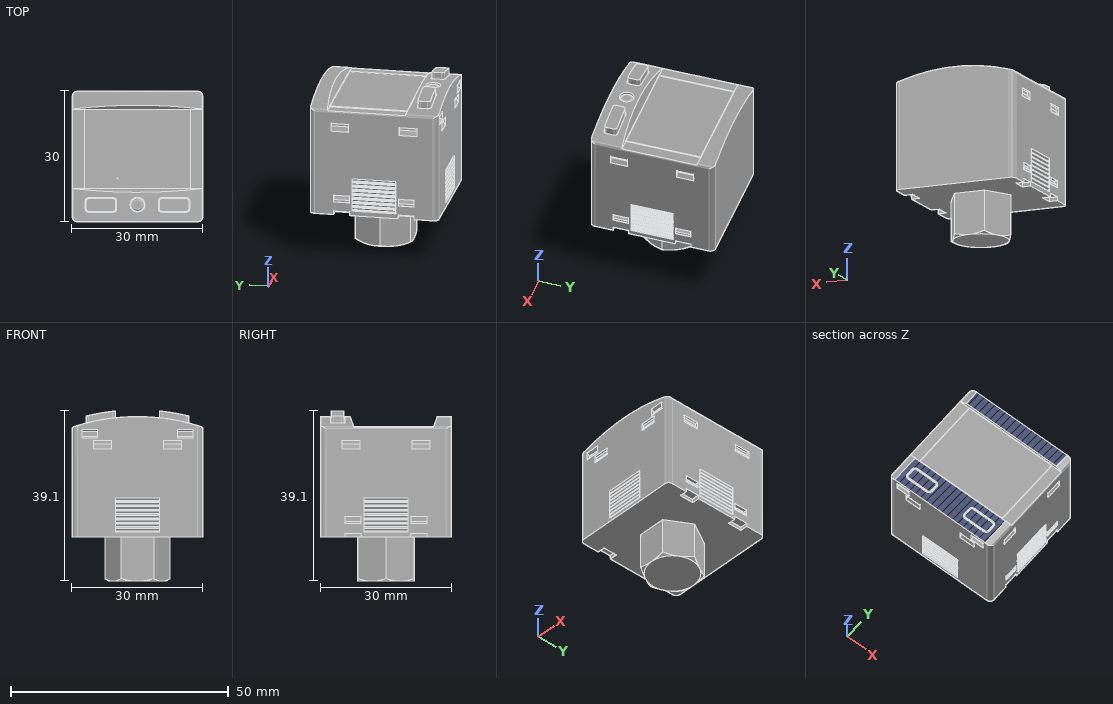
import cadquery as cq
import math

case_width = 30.0
half_width = case_width / 2
corner_radius = 1.2
crown_height = 27.72
crown_radius = 47.5
crown_axis_z = crown_height - crown_radius
cut_clearance = 1.0
eave_fillet = 0.5

fitting_length = 10.1
fitting_flats = 13.0
fitting_corners = fitting_flats / math.cos(math.radians(30))
fitting_chamfer_angle = 30.0

recess_floor = 25.2
recess_front = -7.3
recess_back = 10.85
recess_wall_angle = 20.0
display_width = 24.3
display_rise = 0.2

key_inner_x = 5.0
key_outer_x = 11.8
key_front = -12.6
key_back = -9.66
key_peak = 29.02
key_corner = 0.6
key_gap = 0.2
key_slot_floor = 25.4

round_y = -11.05
round_hole_diameter = 3.36
round_hole_floor = 26.6
round_key_diameter = 3.1
round_key_flat_diameter = 2.1
round_key_top = 27.45

vent_width = 10.2
vent_count = 8
vent_pitch = 1.0
vent_opening = 0.84
vent_back_height = 0.25
vent_depth = 0.4
vent_top = 9.0

clip_center = 8.0
clip_width = 4.1
clip_profile = [(0, 20.3), (0, 22.2), (0.6, 22.2), (0.6, 21.4)]
hook_center = 10.95
hook_width = 3.55
hook_profile = [(0, 22.8), (0, 24.75), (0.85, 24.3), (0.85, 23.1)]
low_center = 7.55
low_width = 3.65
low_profile = [(0, 3.1), (0, 4.73), (1.0, 4.73), (0.1, 3.65), (0.1, 3.1)]
notch_outer = 9.4
notch_inner = 5.75
notch_height = 0.9
notch_flare = 0.15
notch_depth = 2.0


def arched_block():
    """Square block with an arched top, all its edges sharp."""
    eave = crown_axis_z + math.sqrt(crown_radius**2 - half_width**2)
    return (
        cq.Workplane("XZ", origin=(0, half_width, 0))
        .moveTo(-half_width, 0)
        .lineTo(half_width, 0)
        .lineTo(half_width, eave)
        .threePointArc((0, crown_height), (-half_width, eave))
        .close()
        .extrude(case_width)
    )


def make_case():
    """Block with rounded corners, trimmed by the same block with rounded eaves."""
    cornered = arched_block().edges("|Z").fillet(corner_radius)
    eaved = arched_block().faces(">Z").edges("|Y").fillet(eave_fillet)
    return cornered.intersect(eaved)


def make_fitting():
    hexagon = (
        cq.Workplane("XY", origin=(0, 0, -fitting_length))
        .polygon(6, fitting_corners)
        .extrude(fitting_length)
    )
    base_radius = fitting_flats / 2
    flare = fitting_length / math.tan(math.radians(fitting_chamfer_angle))
    cone = (
        cq.Workplane("XZ")
        .moveTo(0, -fitting_length)
        .lineTo(base_radius, -fitting_length)
        .lineTo(base_radius + flare, 0)
        .lineTo(0, 0)
        .close()
        .revolve(axisStart=(0, 0), axisEnd=(0, 1))
    )
    return hexagon.intersect(cone)


def make_recess():
    height = crown_height + cut_clearance - recess_floor
    lean = height * math.tan(math.radians(recess_wall_angle))
    return (
        cq.Workplane("YZ", origin=(-half_width, 0, 0))
        .moveTo(recess_front, recess_floor)
        .lineTo(recess_back, recess_floor)
        .lineTo(recess_back + lean, recess_floor + height)
        .lineTo(recess_front - lean, recess_floor + height)
        .close()
        .extrude(case_width)
    )


def make_display():
    return (
        cq.Workplane("XY", origin=(0, recess_front, recess_floor))
        .box(display_width, recess_back - recess_front, display_rise, centered=(True, False, False))
    )


def key_prism(margin):
    """Upright rounded prism around the right-hand button, grown by margin."""
    return (
        cq.Workplane("XY", origin=(0, 0, key_slot_floor))
        .center((key_inner_x + key_outer_x) / 2, (key_front + key_back) / 2)
        .rect(key_outer_x - key_inner_x + 2 * margin, key_back - key_front + 2 * margin)
        .extrude(key_peak + cut_clearance - key_slot_floor)
        .edges("|Z")
        .fillet(key_corner + margin)
    )


def make_key():
    top_radius = math.hypot(key_inner_x, key_peak - crown_axis_z)
    arch = (
        cq.Workplane("XZ", origin=(0, half_width, crown_axis_z))
        .circle(top_radius)
        .extrude(case_width)
    )
    return key_prism(0).intersect(arch)


def round_disc(diameter, bottom, top):
    return cq.Workplane("XY", origin=(0, round_y, bottom)).circle(diameter / 2).extrude(top - bottom)


def front_pocket(profile, center, width):
    """Pocket of constant cross-section in the front face."""
    points = [(depth - half_width, z) for depth, z in profile]
    return (
        cq.Workplane("YZ", origin=(center - width / 2, 0, 0)).polyline(points).close().extrude(width)
    )


def pocket_pair(profile, center, width):
    pocket = front_pocket(profile, center, width)
    return pocket.union(pocket.mirror("YZ"))


def make_vents():
    vents = cq.Workplane("XY")
    for row in range(vent_count):
        top = vent_top - row * vent_pitch
        bottom = top - vent_opening
        profile = [
            (0, bottom),
            (0, top),
            (vent_depth, bottom + vent_back_height),
            (vent_depth, bottom),
        ]
        vents = vents.add(front_pocket(profile, 0, vent_width))
    return vents.combine()


def make_notches():
    notch = (
        cq.Workplane("XZ", origin=(0, notch_depth - half_width, 0))
        .moveTo(notch_outer, 0)
        .lineTo(notch_outer, notch_height)
        .lineTo(notch_inner, notch_height)
        .lineTo(notch_inner - notch_flare, 0)
        .close()
        .extrude(notch_depth)
    )
    return notch.union(notch.mirror("YZ"))


def to_side(pockets, angle):
    """Turn front face pockets about the vertical axis onto a side face."""
    return pockets.rotate((0, 0, 0), (0, 0, 1), angle)


body = make_case().cut(make_recess()).union(make_display()).union(make_fitting())

slot = key_prism(key_gap)
key = make_key()
body = body.cut(slot).cut(slot.mirror("YZ")).union(key).union(key.mirror("YZ"))

rim = (round_key_diameter - round_key_flat_diameter) / 2
round_key = round_disc(round_key_diameter, round_hole_floor, round_key_top)
round_key = round_key.faces(">Z").edges().fillet(rim)
body = body.cut(round_disc(round_hole_diameter, round_hole_floor, key_peak)).union(round_key)

shared = make_vents().union(pocket_pair(clip_profile, clip_center, clip_width))
side = shared.union(pocket_pair(low_profile, low_center, low_width)).union(make_notches())
body = body.cut(shared).cut(pocket_pair(hook_profile, hook_center, hook_width))
for angle in (-90, 90):
    body = body.cut(to_side(side, angle))

result = body